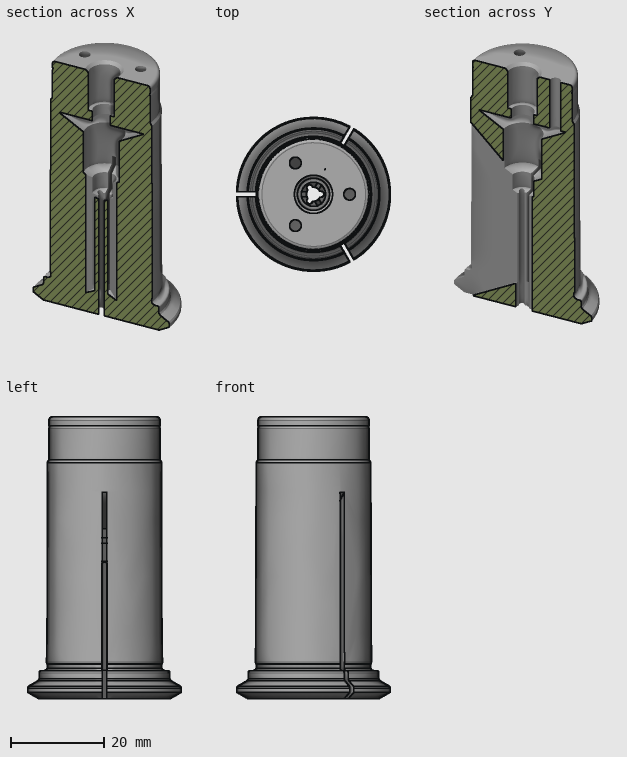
import cadquery as cq
import math

total_height = 60.5
flange_radius = 16.5

flange_face_radius = 14.0
flange_bevel_angle = 30
flange_bevel_height = (flange_radius - flange_face_radius) * math.tan(math.radians(flange_bevel_angle))
flange_rim_top = 2.6
flange_chamfer = 0.27
collar_radius = flange_face_radius
collar_foot = flange_rim_top + flange_bevel_height
collar_top = 6.05
collar_round = 0.4

neck_radius = 12.25
neck_base_radius = 13.2
neck_foot = 6.6
neck_sweep_radius = 1.0
neck_top = 7.4

sleeve_relief_radius = 12.4
sleeve_relief_height = 7.55
sleeve_foot = 7.95
sleeve_foot_radius = 12.45
sleeve_top = 50.65
sleeve_top_radius = 12.3
shoulder_height = 0.6

head_radius = 11.92
head_round = 0.8
groove_foot = 58.0
groove_top = 58.6
groove_depth = 0.15

drill_point_angle = 120
mouth_radius = 8.2 / 2
thread_radius = 6.92 / 2
thread_depth = 10.0
passage_radius = 5.2 / 2
passage_foot = 29.5
wide_bore_radius = 9.0 / 2
wide_bore_point = 33.4
tool_bore_radius = 3.0 / 2

chamber_radius = 20.4 / 2
chamber_top = 48.0

spacing_count = 3
spacing_angle = 360 / spacing_count

edge_tolerance = 1e-4

coolant_groove_width = 1.2
coolant_groove_reach = 2.25

coolant_hole_radius = 2.5 / 2
coolant_hole_circle_radius = 7.75

slot_width = 1.0
slot_outer_top = 44.3
slot_roof_angle = 45
slot_floor_top = 6.15
slot_floor_angle = 30


def around_axis(feature, first_angle):
    """Repeat a feature modelled on the +X side at equal angles about Z."""
    copies = cq.Workplane("XY")
    for index in range(spacing_count):
        angle = first_angle + index * spacing_angle
        copies = copies.add(feature.rotate((0, 0, 0), (0, 0, 1), angle))
    return copies.combine()


def revolve_outline(points):
    """Revolve (radius, height) points about the Z axis."""
    return cq.Workplane("XZ").polyline(points).close().revolve(360, (0, 0), (0, 1))


def circular_edge(body, edge_radius, edge_height):
    """Select the circular edge that has the given radius and height."""
    def is_wanted(edge):
        if edge.geomType() != "CIRCLE":
            return False
        same_height = math.isclose(edge.Center().z, edge_height, abs_tol=edge_tolerance)
        return same_height and math.isclose(edge.radius(), edge_radius, abs_tol=edge_tolerance)

    return body.edges().filter(is_wanted)


def make_body():
    """Solid body of revolution with its edges chamfered or rounded."""
    flange_points = [
        (0, 0),
        (flange_face_radius, 0),
        (flange_radius, flange_bevel_height),
        (flange_radius, flange_rim_top),
        (collar_radius, collar_foot),
        (collar_radius, collar_top),
        (neck_base_radius, collar_top),
    ]
    upper_points = [
        (neck_radius, neck_top),
        (sleeve_relief_radius, sleeve_relief_height),
        (sleeve_foot_radius, sleeve_foot),
        (sleeve_top_radius, sleeve_top),
        (head_radius, sleeve_top + shoulder_height),
        (head_radius, groove_foot),
        (head_radius - groove_depth, groove_top),
        (head_radius, groove_top),
        (head_radius, total_height),
        (0, total_height),
    ]
    body = (
        cq.Workplane("XZ")
        .polyline(flange_points)
        .radiusArc((neck_radius, neck_foot), neck_sweep_radius)
        .polyline(upper_points, includeCurrent=True)
        .close()
        .revolve(360, (0, 0), (0, 1))
    )
    body = circular_edge(body, flange_radius, flange_rim_top).chamfer(flange_chamfer)
    body = circular_edge(body, collar_radius, collar_foot).chamfer(flange_chamfer)
    body = circular_edge(body, collar_radius, collar_top).fillet(collar_round)
    return circular_edge(body, head_radius, total_height).fillet(head_round)


def point_height(large_radius, small_radius):
    """Height of a drill-point cone between two radii."""
    return (large_radius - small_radius) / math.tan(math.radians(drill_point_angle / 2))


def make_central_bore():
    """Threaded mouth, passage into the chamber, wide bore, passage and tool bore."""
    mouth_depth = mouth_radius - thread_radius
    thread_floor = total_height - thread_depth
    return revolve_outline([
        (0, 0),
        (tool_bore_radius, 0),
        (tool_bore_radius, passage_foot - point_height(passage_radius, tool_bore_radius)),
        (passage_radius, passage_foot),
        (passage_radius, wide_bore_point),
        (wide_bore_radius, wide_bore_point + point_height(wide_bore_radius, passage_radius)),
        (wide_bore_radius, chamber_top - point_height(chamber_radius, wide_bore_radius)),
        (chamber_radius, chamber_top),
        (passage_radius, chamber_top),
        (passage_radius, thread_floor),
        (thread_radius, thread_floor),
        (thread_radius, total_height - mouth_depth),
        (mouth_radius, total_height),
        (0, total_height),
    ])


def make_coolant_groove():
    """Round-ended groove that widens the tool bore over its full length."""
    end_radius = coolant_groove_width / 2
    end_center = coolant_groove_reach - end_radius
    return (
        cq.Workplane("XY")
        .moveTo(0, -end_radius)
        .lineTo(end_center, -end_radius)
        .threePointArc((coolant_groove_reach, 0), (end_center, end_radius))
        .lineTo(0, end_radius)
        .close()
        .extrude(passage_foot)
    )


def make_coolant_hole():
    """Straight hole from the top face into the chamber."""
    return (
        cq.Workplane("XY", origin=(coolant_hole_circle_radius, 0, chamber_top))
        .circle(coolant_hole_radius)
        .extrude(total_height - chamber_top)
    )


def make_slot():
    """Slot from the outside to the axis; roof and floor both slope."""
    roof_slope = math.tan(math.radians(slot_roof_angle))
    floor_slope = math.tan(math.radians(slot_floor_angle))
    outer_end = flange_radius + slot_width
    return (
        cq.Workplane("XZ")
        .moveTo(0, slot_floor_top)
        .lineTo(tool_bore_radius, slot_floor_top)
        .lineTo(tool_bore_radius + slot_floor_top / floor_slope, 0)
        .lineTo(outer_end, 0)
        .lineTo(outer_end, slot_outer_top + (outer_end - sleeve_top_radius) * roof_slope)
        .lineTo(0, slot_outer_top - sleeve_top_radius * roof_slope)
        .close()
        .extrude(slot_width / 2, both=True)
    )


result = (
    make_body()
    .cut(make_central_bore())
    .cut(around_axis(make_coolant_groove(), 0))
    .cut(around_axis(make_coolant_hole(), 0))
    .cut(around_axis(make_slot(), spacing_angle / 2))
)